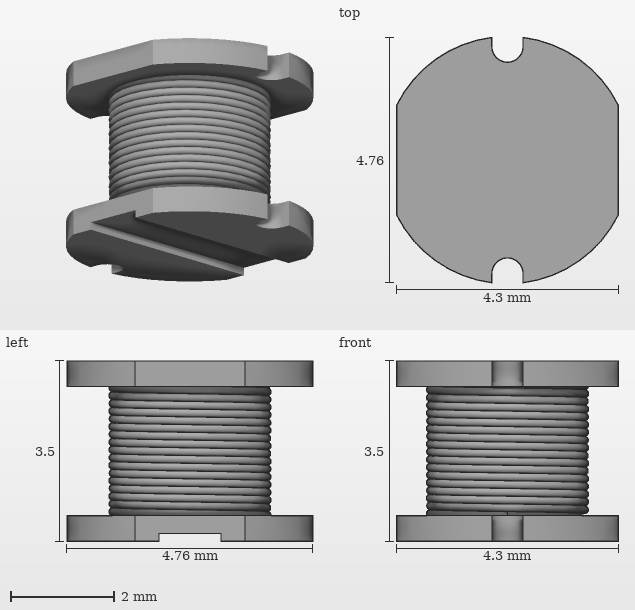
import cadquery as cq

part_height = 3.5
flange_thickness = 0.5
flange_radius = 2.4
width_across_flats = 4.3

notch_width = 0.6
notch_center_y = 2.2

groove_width = 1.2
groove_depth = 0.15

core_radius = 1.44
winding_radius = 1.5
turn_pitch = 0.15
turn_gap = 0.002
turn_count = 18

wire_diameter = turn_pitch - turn_gap
winding_length = turn_count * turn_pitch
half_height = part_height / 2
lower_flange_top = flange_thickness - half_height
upper_flange_bottom = half_height - flange_thickness
core_length = winding_length + wire_diameter


def make_flange(bottom_z):
    """Round disc with two flats facing X and a round-ended notch on each Y edge."""
    disc = cq.Workplane("XY").workplane(offset=bottom_z).circle(flange_radius).extrude(flange_thickness)
    flats = cq.Workplane("XY").box(width_across_flats, 2 * flange_radius, part_height)
    flange = disc.intersect(flats)
    for side in (-1, 1):
        notch_round = (
            cq.Workplane("XY")
            .center(0, side * notch_center_y)
            .circle(notch_width / 2)
            .extrude(part_height, both=True)
        )
        notch_mouth = (
            cq.Workplane("XY")
            .center(0, side * (notch_center_y + flange_radius / 2))
            .rect(notch_width, flange_radius)
            .extrude(part_height, both=True)
        )
        flange = flange.cut(notch_round).cut(notch_mouth)
    return flange


def make_underside_groove():
    """Bar that cuts the groove right across the lower flange."""
    return (
        cq.Workplane("XY")
        .workplane(offset=-half_height)
        .rect(width_across_flats, groove_width)
        .extrude(groove_depth)
    )


def make_winding():
    """Round wire on a left-handed helix, partly sunk in the core, ending inside the upper flange."""
    path = cq.Wire.makeHelix(turn_pitch, winding_length, winding_radius, lefthand=True)
    coil = (
        cq.Workplane("XZ")
        .center(winding_radius, 0)
        .circle(wire_diameter / 2)
        .sweep(cq.Workplane(path), isFrenet=True)
    )
    return coil.rotate((0, 0, 0), (0, 0, 1), -90).translate((0, 0, lower_flange_top))


def make_core():
    """Cylinder that carries the winding and reaches past its end, inside the upper flange."""
    return cq.Workplane("XY").workplane(offset=lower_flange_top).circle(core_radius).extrude(core_length)


lower_flange = make_flange(-half_height).cut(make_underside_groove())
upper_flange = make_flange(upper_flange_bottom)

result = make_core().union(make_winding()).union(lower_flange).union(upper_flange)